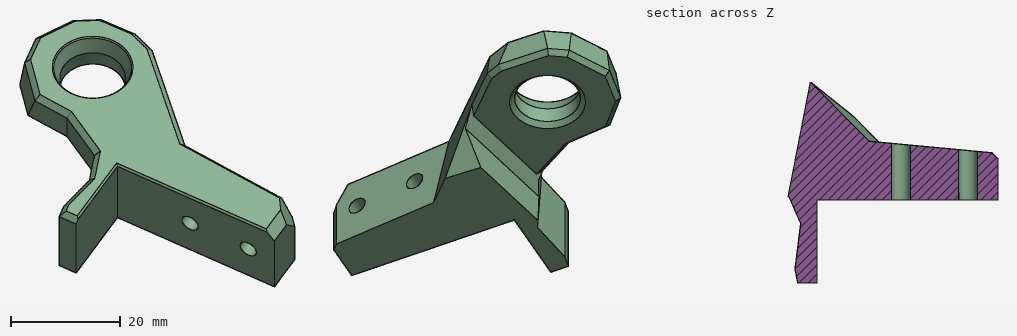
import cadquery as cq
import math

HEIGHT = 15.0
TOP_BEVEL = 1.05
INNER_BEVEL = 0.4
BACK_BEVEL = 0.9
SHOULDER_Z = HEIGHT - TOP_BEVEL
ARM_END_X = 32.95
LEG_END_Y = -15.1

PLATE_BOTTOM_Z = 7.8
PLATE_BEVEL = 0.9
PLATE_EDGE_Z = PLATE_BOTTOM_Z + PLATE_BEVEL
RIB_X = -4.15
RIB_FRONT_Y = -2.0
RIB_UNDERCUT = 0.3
RIB_TURN = 11.0
RIB_SLOPE = 2.0
RIB_BACK_Y = 14.9
RIB_BACK_LEAN = 0.86
RIB_BACK_SKEW = 0.04
MARGIN = 12.35

BORE_X = -15.4
BORE_Y = 17.85
BORE_DIAMETER = 12.0
SOCKET_DIAMETER = 14.2
SOCKET_BEVEL = 0.25
SOCKET_DEPTH = 3.1

SCREW_DIAMETER = 3.4
SCREW_XS = (15.25, 27.45)
SCREW_Z = 7.5

END_BEVEL = 1.9
CORNER_BEVEL = 1.05
FACET_POINT = (29.55, 7.8, HEIGHT)
FACET_NORMAL = (7.0, 4.8, 4.0)

OUTLINE = [
    (-28.2, 19.4, 6.0, TOP_BEVEL),
    (-27.15, 13.4, 11.5, TOP_BEVEL),
    (-21.05, 6.5, 0, TOP_BEVEL),
    (-13.9, 5.8, 0, TOP_BEVEL),
    (-5.2, 0.6, 0, TOP_BEVEL),
    (-3.1, -4.95, 0, TOP_BEVEL),
    (-4.1, -12.6, 0, TOP_BEVEL),
    (-3.6, LEG_END_Y, 0, TOP_BEVEL),
    (0, LEG_END_Y, 0, 0),
    (0, 0, 0, 0),
    (ARM_END_X, 0, 0, 0),
    (ARM_END_X, 8.5, 0, BACK_BEVEL),
    (7.95, 10.85, 8.6, TOP_BEVEL),
    (-8.4, 27.4, 11.5, TOP_BEVEL),
    (-13.0, 29.25, 4.6, TOP_BEVEL),
    (-20.2, 29.15, 9.3, TOP_BEVEL),
    (-24.45, 26.4, 5.5, TOP_BEVEL),
]
HEAD_LAST = 4
LEG_BEND = 5
LEG_BEND_SHIFT = (0.1, 1.35)
BACK_BEND = 12


def inset(points, widths):
    """Move each edge of a counterclockwise polygon inward by its own width."""
    moved = []
    for i, (x, y) in enumerate(points):
        before = points[i - 1]
        after = points[(i + 1) % len(points)]
        ax, ay = x - before[0], y - before[1]
        bx, by = after[0] - x, after[1] - y
        a_reach = widths[i - 1] * math.hypot(ax, ay)
        b_reach = widths[i] * math.hypot(bx, by)
        turn = ax * by - ay * bx
        moved.append((x + (bx * a_reach - ax * b_reach) / turn, y + (by * a_reach - ay * b_reach) / turn))
    return moved


def ruled_solid(lower, lower_z, upper, upper_z):
    """Solid with flat ends and ruled sides joining matching corners."""
    wires = [
        cq.Wire.makePolygon([cq.Vector(x, y, z) for x, y in points], close=True)
        for points, z in ((lower, lower_z), (upper, upper_z))
    ]
    return cq.Workplane(cq.Solid.makeLoft(wires, True))


shoulder = [(x, y) for x, y, _, _ in OUTLINE]
bevels = [bevel for _, _, _, bevel in OUTLINE]


def drafted_outline(z):
    """Outline where the drafted sides pass height z."""
    drop = SHOULDER_Z - z
    return inset(shoulder, [-drop * math.tan(math.radians(draft)) for _, _, draft, _ in OUTLINE])


def full_height_block():
    foot = drafted_outline(0)
    bend_x, bend_y = foot[LEG_BEND]
    foot[LEG_BEND] = (bend_x + LEG_BEND_SHIFT[0], bend_y + LEG_BEND_SHIFT[1])
    walls = ruled_solid(foot, 0, shoulder, SHOULDER_Z)
    crown = ruled_solid(shoulder, SHOULDER_Z, inset(shoulder, bevels), HEIGHT)
    return walls.union(crown)


def head_zone():
    """Everything above the plate edge, plus the bevelled underside of the head."""
    upper = (
        cq.Workplane().workplane(offset=PLATE_EDGE_Z)
        .rect(4 * ARM_END_X, 4 * ARM_END_X).extrude(HEIGHT)
    )
    edge = drafted_outline(PLATE_EDGE_Z)
    head = edge[:HEAD_LAST + 1] + [(0, 0)] + edge[BACK_BEND:]
    bevel = ruled_solid(inset(head, [PLATE_BEVEL] * len(head)), PLATE_BOTTOM_Z, head, PLATE_EDGE_Z)
    return upper.union(bevel)


def rib_zone():
    """Sloped rib, arm and leg below the plate."""
    slope_z = PLATE_BOTTOM_Z - RIB_SLOPE
    slope_top_x = RIB_X - (HEIGHT - slope_z)
    right = ARM_END_X + 2 * MARGIN
    front = LEG_END_Y - 2 * MARGIN
    foot_x = RIB_X + RIB_UNDERCUT
    profile = [(foot_x, 0), (right, 0), (right, HEIGHT), (slope_top_x, HEIGHT), (RIB_X, slope_z)]
    zone = cq.Workplane("XZ", origin=(0, front, 0)).polyline(profile).close().extrude(-4 * ARM_END_X)
    zone = zone.rotate((RIB_X, RIB_FRONT_Y, 0), (RIB_X, RIB_FRONT_Y, 1), -RIB_TURN)

    def back_outline(z):
        left = RIB_X - HEIGHT
        back = RIB_BACK_Y + RIB_BACK_LEAN * z
        left_back = back + RIB_BACK_SKEW * (left - RIB_X)
        right_back = back + RIB_BACK_SKEW * (right - RIB_X)
        return [(left, front), (right, front), (right, right_back), (left, left_back)]

    return zone.intersect(ruled_solid(back_outline(0), 0, back_outline(PLATE_EDGE_Z), PLATE_EDGE_Z))


def bore():
    """Tapered socket above a plain bore that flares at the underside."""
    radius = BORE_DIAMETER / 2
    socket = SOCKET_DIAMETER / 2
    profile = [
        (0, PLATE_BOTTOM_Z),
        (radius + PLATE_BEVEL, PLATE_BOTTOM_Z),
        (radius, PLATE_EDGE_Z),
        (radius, HEIGHT - SOCKET_DEPTH),
        (socket, HEIGHT - SOCKET_BEVEL),
        (socket + SOCKET_BEVEL, HEIGHT),
        (0, HEIGHT),
    ]
    cutter = cq.Workplane("XZ").polyline(profile).close().revolve(360, (0, 0, 0), (0, 1, 0))
    return cutter.translate((BORE_X, BORE_Y, 0))


def screw_holes():
    centres = [(x, SCREW_Z) for x in SCREW_XS]
    return cq.Workplane("XZ").pushPoints(centres).circle(SCREW_DIAMETER / 2).extrude(-2 * MARGIN)


def beyond_plane(point, normal):
    """Block filling the outer side of a plane."""
    return cq.Workplane(cq.Plane(origin=point, normal=normal)).rect(2 * MARGIN, 2 * MARGIN).extrude(MARGIN)


def inner_bevel():
    """Small bevel along the top of both mounting faces."""
    low = HEIGHT - INNER_BEVEL
    far = ARM_END_X + MARGIN
    corner = [(0, -far), (far, -far), (far, 0), (0, 0)]
    widened = [(-INNER_BEVEL, -far), (far, -far), (far, INNER_BEVEL), (-INNER_BEVEL, INNER_BEVEL)]
    return ruled_solid(corner, low, widened, HEIGHT)


result = full_height_block().intersect(head_zone().union(rib_zone()))
result = result.cut(bore()).cut(screw_holes()).cut(inner_bevel())
result = result.cut(beyond_plane((ARM_END_X - END_BEVEL, 0, HEIGHT), (1, 0, 1)))
result = result.cut(beyond_plane((ARM_END_X, OUTLINE[BACK_BEND - 1][1] - CORNER_BEVEL, 0), (1, 1, 0)))
result = result.cut(beyond_plane(FACET_POINT, FACET_NORMAL))